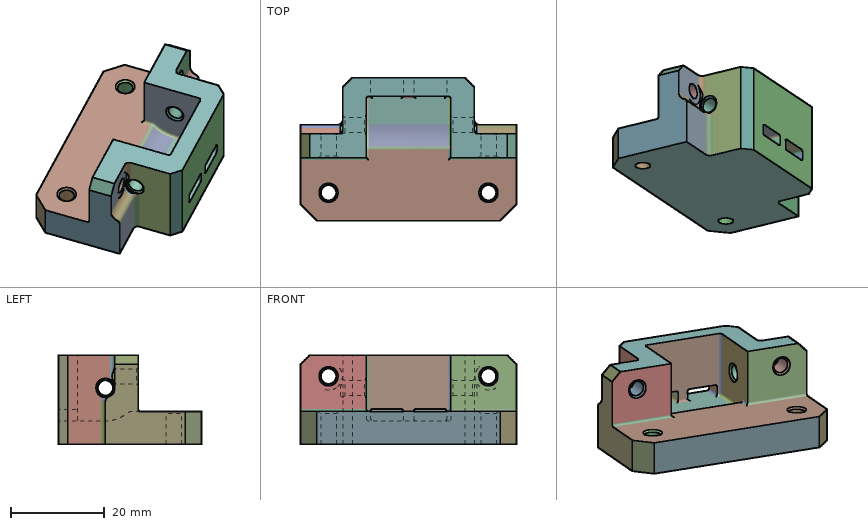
import cadquery as cq
import math

LENGTH = 46.0
DEPTH = 30.5
HEIGHT = 19.0
BASE_HEIGHT = 7.0
HALF_LENGTH = LENGTH / 2

BLOCK_WIDTH = 28.05
BACK_CHAMFER = 2.02
HALF_BLOCK = BLOCK_WIDTH / 2

FRONT_CHAMFER = 3.5
EAR_FRONT = 13.5
EAR_BACK = 18.5
EAR_CHAMFER = 2.0
LEDGE_BACK = 20.45
LEDGE_FILLET = 1.0

PIVOT_Y = LEDGE_BACK
PIVOT_Z = 12.0
RELIEF_RADIUS = PIVOT_Y - EAR_BACK
LEDGE_TOP = PIVOT_Z - RELIEF_RADIUS

POCKET_WIDTH = 18.0
POCKET_BACK = 26.5
POCKET_FLOOR = 5.0
POCKET_FILLET = 0.5
TROUGH_RADIUS = PIVOT_Z - POCKET_FLOOR
TROUGH_RIM_FILLET = 1.0
HALF_POCKET = POCKET_WIDTH / 2

WINDOW_WIDTH = 7.0
WINDOW_SPACING = 9.2
WINDOW_TOP = 7.5

HOLE_DIAMETER = 3.2
COUNTERSINK_DIAMETER = 4.05
HOLE_SPACING = 34.05
BASE_HOLE_Y = 6.0
EAR_HOLE_Z = 14.5
SCREW_HEAD_DIAMETER = 5.8
PIVOT_CLEARANCE_DIAMETER = 3.7

SIDES = (-1, 1)


def box(x_range, y_range, z_range):
    """Box between the given limits."""
    x_low, x_high = sorted(x_range)
    y_low, y_high = y_range
    z_low, z_high = z_range
    block = cq.Workplane("XY").box(x_high - x_low, y_high - y_low, z_high - z_low, centered=False)
    return block.translate((x_low, y_low, z_low))


def cylinder(start, direction, diameter, length):
    """Cylinder that begins at start and runs along direction."""
    solid = cq.Solid.makeCylinder(diameter / 2, length, cq.Vector(*start), cq.Vector(*direction))
    return cq.Workplane(solid)


def countersunk_hole(start, direction, length):
    """Hole with a 45 degree countersink at its start."""
    mouth_radius = COUNTERSINK_DIAMETER / 2
    hole_radius = HOLE_DIAMETER / 2
    cone = cq.Solid.makeCone(
        mouth_radius, hole_radius, mouth_radius - hole_radius, cq.Vector(*start), cq.Vector(*direction)
    )
    return cylinder(start, direction, HOLE_DIAMETER, length).union(cq.Workplane(cone))


def fillet_edges_near(body, radius, *points):
    """Round the edges whose midpoints lie closest to the given points."""
    selector = cq.selectors.NearestToPointSelector(points[0])
    for point in points[1:]:
        selector = selector + cq.selectors.NearestToPointSelector(point)
    return body.edges(selector).fillet(radius)


def make_blank():
    """Wide chamfered base and ears with the narrower block behind them."""
    front = box((-HALF_LENGTH, HALF_LENGTH), (0, LEDGE_BACK), (0, HEIGHT))
    front = front.edges("|Z and <Y").chamfer(FRONT_CHAMFER)
    front = front.edges("|Y and >Z").chamfer(EAR_CHAMFER)
    block = box((-HALF_BLOCK, HALF_BLOCK), (EAR_FRONT, DEPTH), (0, HEIGHT))
    block = block.edges("|Z and >Y").chamfer(BACK_CHAMFER)
    step = box((-HALF_LENGTH, HALF_LENGTH), (0, EAR_FRONT), (BASE_HEIGHT, HEIGHT))
    return front.union(block).cut(step)


def cut_ear_back(body, side):
    """Cut the ear back down to an arc above the ledge, then blend ledge, ear and block."""
    relief = (
        cq.Workplane("YZ")
        .moveTo(EAR_BACK, HEIGHT)
        .lineTo(EAR_BACK, PIVOT_Z)
        .radiusArc((LEDGE_BACK, LEDGE_TOP), -RELIEF_RADIUS)
        .lineTo(LEDGE_BACK, HEIGHT)
        .close()
        .extrude(side * (HALF_LENGTH - HALF_BLOCK))
        .translate((side * HALF_BLOCK, 0, 0))
    )
    body = body.cut(relief)
    ledge_middle = side * (HALF_LENGTH + HALF_BLOCK) / 2
    body = fillet_edges_near(body, LEDGE_FILLET, (ledge_middle, LEDGE_BACK, LEDGE_TOP))
    ear_corner = (side * HALF_BLOCK, EAR_BACK, (HEIGHT + PIVOT_Z) / 2)
    return fillet_edges_near(body, LEDGE_FILLET, ear_corner)


def cut_pocket(body):
    """Cut the front-opening pocket, its floor and the trough at the front of the floor."""
    rim_y = PIVOT_Y - math.sqrt(TROUGH_RADIUS**2 - (PIVOT_Z - BASE_HEIGHT) ** 2)
    x_range = (-HALF_POCKET, HALF_POCKET)
    opening = box(x_range, (EAR_FRONT, POCKET_BACK), (BASE_HEIGHT, HEIGHT))
    floor = box(x_range, (PIVOT_Y, POCKET_BACK), (POCKET_FLOOR, HEIGHT))
    trough = cylinder((-HALF_POCKET, PIVOT_Y, PIVOT_Z), (1, 0, 0), 2 * TROUGH_RADIUS, POCKET_WIDTH)
    trough = trough.intersect(box(x_range, (rim_y, PIVOT_Y), (0, BASE_HEIGHT)))
    body = body.cut(opening).cut(floor).cut(trough)
    return fillet_edges_near(body, TROUGH_RIM_FILLET, (0, rim_y, BASE_HEIGHT))


def fillet_pocket_and_ear_feet(body):
    """Round the pocket's back corners, then the foot of its walls and of the ear fronts."""
    back_corners = [(side * HALF_POCKET, POCKET_BACK, HEIGHT / 2) for side in SIDES]
    body = fillet_edges_near(body, POCKET_FILLET, *back_corners)
    feet = [(0, POCKET_BACK, POCKET_FLOOR)]
    for side in SIDES:
        feet.append((side * (HALF_LENGTH + HALF_POCKET) / 2, EAR_FRONT, BASE_HEIGHT))
        feet.append((side * HALF_POCKET, EAR_FRONT + POCKET_FILLET, BASE_HEIGHT))
    return fillet_edges_near(body, POCKET_FILLET, *feet)


def cut_window(body, side):
    """Cut a round-cornered window from the pocket through the back wall."""
    centre = side * WINDOW_SPACING / 2
    x_range = (centre - WINDOW_WIDTH / 2, centre + WINDOW_WIDTH / 2)
    window = box(x_range, (POCKET_BACK - POCKET_FILLET, DEPTH), (POCKET_FLOOR, WINDOW_TOP))
    return body.cut(window.edges("|Y").fillet(POCKET_FILLET))


def cut_mounting_holes(body, side):
    """Drill one hole down through the base and one back through the ear."""
    x = side * HOLE_SPACING / 2
    base_hole = countersunk_hole((x, BASE_HOLE_Y, BASE_HEIGHT), (0, 0, -1), BASE_HEIGHT)
    ear_hole = countersunk_hole((x, EAR_FRONT, EAR_HOLE_Z), (0, 1, 0), EAR_BACK - EAR_FRONT)
    head_space = cylinder((x, EAR_BACK, EAR_HOLE_Z), (0, 1, 0), SCREW_HEAD_DIAMETER, DEPTH - EAR_BACK)
    return body.cut(base_hole).cut(ear_hole).cut(head_space)


def cut_pivot_bore(body, side):
    """Bore the pocket's side wall, countersunk on both faces, and clear a path past the ledge fillets."""
    wall = HALF_BLOCK - HALF_POCKET
    inside = countersunk_hole((side * HALF_POCKET, PIVOT_Y, PIVOT_Z), (side, 0, 0), wall)
    outer_centre = (side * HALF_BLOCK, PIVOT_Y, PIVOT_Z)
    outside = countersunk_hole(outer_centre, (-side, 0, 0), wall)
    clearance_length = HALF_LENGTH - HALF_BLOCK
    clearance = cylinder(outer_centre, (side, 0, 0), PIVOT_CLEARANCE_DIAMETER, clearance_length)
    return body.cut(inside).cut(outside).cut(clearance)


result = make_blank()
for ear_side in SIDES:
    result = cut_ear_back(result, ear_side)
result = fillet_pocket_and_ear_feet(cut_pocket(result))
for ear_side in SIDES:
    result = cut_window(result, ear_side)
    result = cut_mounting_holes(result, ear_side)
    result = cut_pivot_bore(result, ear_side)